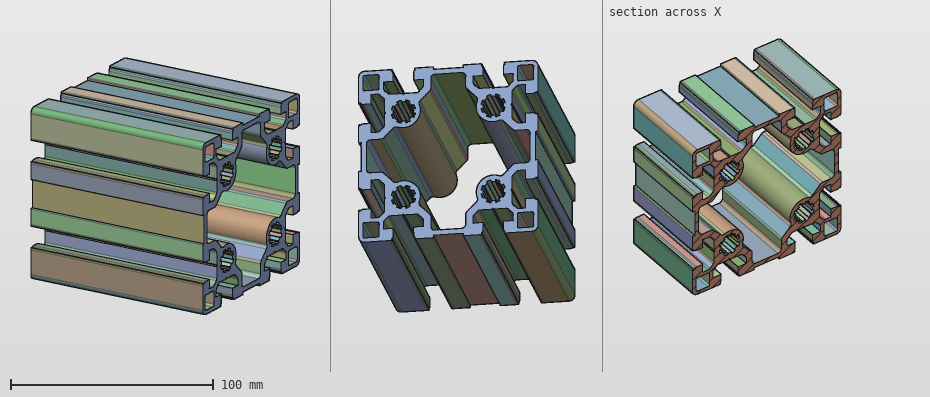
import cadquery as cq
import math

length = 100.0
side = 90.0
half_side = side / 2
corner_radius = 3.0

module = half_side
core_offset = module / 2
quadrant_signs = [(1, 1), (-1, 1), (-1, -1), (1, -1)]

slot_half_opening = 5.1
lip_thickness = 6.3
slot_half_width = 10.0
slot_depth = 13.0
slot_chamfer = 2.8
slot_blend_radius = 1.5
nick_half_width = 0.5
nick_depth = 0.5

lip_round_width = 1.5
lip_round_depth = 2.6
lip_tip_offset = 0.4
lip_tip_depth = 0.5
lip_shoulder_offset = 0.8
lip_shoulder_depth = 0.1
lip_tip_radius = 0.4
lip_step = 0.4
lip_bulge_offset = 0.2
lip_bulge_depth = 1.6
lip_bulge_radius = 1.0

hollow_size = 8.1
hollow_wall = 2.2
hollow_radius = 1.0

recess_half_width = 7.5
recess_depth = 1.3
recess_edge_radius = 0.3
web_inner_depth = 4.0

arm_half_width = 8.7
arm_corner_radius = 2.0
flank_sum = 41.7
core_radius = 8.5
core_blend_radius = 2.0

channel_radius = 6.1
tooth_tip_radius = 5.1
tooth_count = 8
tooth_half_angle = 12.0

overcut = 1.0


def prism(outline):
    """Extrude a profile over the full length, centred on the YZ plane."""
    return outline.extrude(length / 2, both=True)


def tangent_radius(along, across):
    """Radius of an arc that leaves a line tangentially and ends at (along, across) from it."""
    return (along**2 + across**2) / (2 * across)


def polar(radius, degrees):
    angle = math.radians(degrees)
    return radius * math.cos(angle), radius * math.sin(angle)


def make_slot():
    """T-slot cutter centred on y = 0 and opening through the +Z face."""
    top = half_side
    floor = top - slot_depth
    lip_bottom = top - lip_thickness
    tip_y = slot_half_opening + lip_tip_offset
    tip_z = top - lip_tip_depth
    shoulder_y = slot_half_opening + lip_shoulder_offset
    shoulder_z = top - lip_shoulder_depth
    step_y = tip_y + lip_step
    step_z = tip_z - lip_step
    mouth_y = slot_half_opening + lip_round_width
    round_end_z = top - lip_round_depth
    bulge_y = slot_half_opening + lip_bulge_offset
    bulge_z = top - lip_bulge_depth
    inner_radius = tangent_radius(bulge_z - round_end_z, lip_bulge_offset)
    shoulder_radius = tangent_radius(mouth_y - shoulder_y, lip_shoulder_depth)
    chamfer_points = [(slot_half_width, floor + slot_chamfer), (slot_half_width - slot_chamfer, floor)]

    half = prism(
        cq.Workplane("YZ")
        .moveTo(0, top + overcut)
        .lineTo(mouth_y, top + overcut)
        .lineTo(mouth_y, top)
        .radiusArc((shoulder_y, shoulder_z), -shoulder_radius)
        .radiusArc((tip_y, tip_z), -lip_tip_radius)
        .lineTo(step_y, step_z)
        .radiusArc((bulge_y, bulge_z), -lip_bulge_radius)
        .radiusArc((slot_half_opening, round_end_z), -inner_radius)
        .lineTo(slot_half_opening, lip_bottom)
        .lineTo(slot_half_width, lip_bottom)
        .lineTo(*chamfer_points[0])
        .lineTo(*chamfer_points[1])
        .lineTo(nick_half_width, floor)
        .lineTo(0, floor - nick_depth)
        .close()
    )
    for y, z in chamfer_points:
        half = half.edges(cq.selectors.NearestToPointSelector((0, y, z))).fillet(slot_blend_radius)
    return half.union(half.mirror("XZ"))


def make_recess():
    """Shallow recess cutter in the middle of the +Z face, rounding over its outer edges."""
    top = half_side
    floor = top - recess_depth
    rim_half_width = recess_half_width + recess_edge_radius
    wall_top = top - recess_edge_radius
    return prism(
        cq.Workplane("YZ")
        .moveTo(-recess_half_width, floor)
        .lineTo(recess_half_width, floor)
        .lineTo(recess_half_width, wall_top)
        .radiusArc((rim_half_width, top), recess_edge_radius)
        .lineTo(rim_half_width, top + overcut)
        .lineTo(-rim_half_width, top + overcut)
        .lineTo(-rim_half_width, top)
        .radiusArc((-recess_half_width, wall_top), recess_edge_radius)
        .close()
    )


def make_corner_hollow():
    """Square hollow cutter in the +Y +Z corner."""
    centre = half_side - hollow_wall - hollow_size / 2
    hollow = prism(cq.Workplane("YZ").center(centre, centre).rect(hollow_size, hollow_size))
    return hollow.edges("|X").fillet(hollow_radius)


def make_cavity():
    """Cutter for the central cavity between the four cores."""
    reach = half_side - web_inner_depth
    flank_end = flank_sum - arm_half_width
    first_quadrant = [
        (reach, arm_half_width),
        (flank_end, arm_half_width),
        (arm_half_width, flank_end),
        (arm_half_width, reach),
    ]
    outline = []
    for sign_y, sign_z in quadrant_signs:
        points = [(sign_y * y, sign_z * z) for y, z in first_quadrant]
        outline += points if sign_y * sign_z > 0 else points[::-1]
    cavity = prism(cq.Workplane("YZ").polyline(outline).close())

    for sign_y, sign_z in quadrant_signs:
        for y, z in first_quadrant:
            corner = (0, sign_y * y, sign_z * z)
            cavity = cavity.edges(cq.selectors.NearestToPointSelector(corner)).fillet(arm_corner_radius)

    core_centres = [(sy * core_offset, sz * core_offset) for sy, sz in quadrant_signs]
    cavity = cavity.cut(prism(cq.Workplane("YZ").pushPoints(core_centres).circle(core_radius)))

    diagonal_angle = 45
    flank_distance = (2 * core_offset - flank_sum) / math.sqrt(2)
    core_turn = math.degrees(math.acos(-flank_distance / core_radius))
    for sy, sz in quadrant_signs:
        for turn in (-core_turn, core_turn):
            dy, dz = polar(core_radius, diagonal_angle + turn)
            corner = (0, sy * (core_offset + dy), sz * (core_offset + dz))
            cavity = cavity.edges(cq.selectors.NearestToPointSelector(corner)).fillet(core_blend_radius)
    return cavity


def make_channel():
    """Serrated screw channel cutter in the +Y +Z core."""
    pitch = 360 / tooth_count
    channel = cq.Workplane("YZ").center(core_offset, core_offset)
    channel = channel.moveTo(*polar(tooth_tip_radius, -tooth_half_angle))
    for index in range(tooth_count):
        tooth = index * pitch
        groove = tooth + pitch / 2
        groove_start = tooth + tooth_half_angle
        groove_end = tooth + pitch - tooth_half_angle
        channel = (
            channel.threePointArc(polar(tooth_tip_radius, tooth), polar(tooth_tip_radius, groove_start))
            .lineTo(*polar(channel_radius, groove_start))
            .threePointArc(polar(channel_radius, groove), polar(channel_radius, groove_end))
        )
        if index < tooth_count - 1:
            channel = channel.lineTo(*polar(tooth_tip_radius, groove_end))
    return prism(channel.close())


result = cq.Workplane("XY").box(length, side, side).edges("|X").fillet(corner_radius)
result = result.cut(make_cavity())

slot = make_slot()
face_cutters = [
    slot.translate((0, core_offset, 0)),
    slot.translate((0, -core_offset, 0)),
    make_recess(),
]
corner_cutters = [make_corner_hollow(), make_channel()]
for quarter_turn in range(4):
    for cutter in face_cutters + corner_cutters:
        result = result.cut(cutter.rotate((0, 0, 0), (1, 0, 0), 90 * quarter_turn))